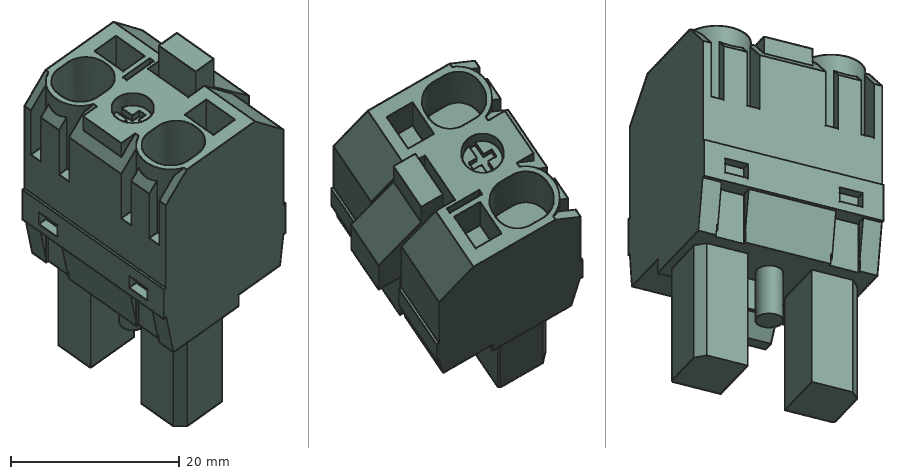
import cadquery as cq
import math


WIDTH = 23.75
BACK_Y = 13.5
FRONT_Y = -6.35
TOP_Z = 44.7
BOTTOM_Z = 15.55
BACK_BOTTOM_Z = 17.45
STEP_Y = 5.95
BACK_BEVEL = 4.8
FRONT_BEVEL = 3.55
BAND_TOP_Z = 27.3
BAND_BOTTOM_Z = 22.28
BAND_RISE = 0.35
TAPER_SETBACK = 0.1
FRONT_TAPER = 1.2
BACK_TAPER = 0.55

ENTRY_X = 7.6
ENTRY_Y = -0.75
ENTRY_WIDTH = 6.65
ENTRY_LENGTH = 7.6
ENTRY_DEPTH = 9.55
ENTRY_CORNER_RADIUS = 3.0
BOSS_RADIUS = 4.1
BOSS_Y = -1.25
RIB_WIDTH = 3.05
GROOVE_SPAN = 6.4
GROOVE_BOTTOM_Z = 33.72

POCKET_WIDTH = 4.8
POCKET_LENGTH = 3.63
POCKET_Y = 5.4
POCKET_DEPTH = 7.15
SLIT_X = -4.15
SLIT_Y = 5.1
SLIT_WIDTH = 0.65
SLIT_LENGTH = 4.55
SLIT_DEPTH = 2.4

TAB_WIDTH = 6.45
TAB_FRONT_Y = -5.15
TAB_BOTTOM_Z = 42.2
WINDOW_BOTTOM_Z = 23.45
WINDOW_HEIGHT = 1.95
WINDOW_DEPTH = 1.2
RELIEF_WIDTH = 3.63
RELIEF_BACK_Y = -4.67
RELIEF_UNDERCUT_Y = -5.15
RELIEF_UNDERCUT_WIDTH = 3.85

PRONG_INNER_X = 4.25
PRONG_OUTER_X = 10.85
PRONG_FRONT_Y = -2.85
PRONG_BACK_Y = 4.5
PRONG_FRONT_CHAMFER = 1.15
PRONG_BACK_CHAMFER = 0.25

TONGUE_WIDTH = 4.15
TONGUE_BACK_Y = 5.25
TONGUE_FRONT_Y = 2.15
TONGUE_BOTTOM_Z = 8.25
TONGUE_BEVEL_TOP_Z = 11.0
TONGUE_STEP_Z = 11.3
TONGUE_STEP = 0.15
TONGUE_BEVEL_ANGLE = 30

HEAD_DIAMETER = 4.75
HEAD_HOLE_DIAMETER = 5.05
HEAD_TOP_Z = 42.75
HEAD_HEIGHT = 2.85
SHANK_DIAMETER = 3.3
SHANK_END_Z = 8.9
DRIVE_SLOT_WIDTH = 0.9
CROSS_SLOT_WIDTH = 1.05
CROSS_SLOT_LENGTH = 3.25
DRIVE_DEPTH = 0.95

LEVER_WIDTH = 6.2
LEVER_SLOT_WIDTH = 6.75
LEVER_TOP_Z = 47.7
LEVER_BACK_Y = 16.5
GRIP_BACK_Y = 10.55
GRIP_FRONT_Y = 7.5
NOSE_TOP_Z = 37.25
NOSE_RISE = 5.72
NOSE_BOTTOM_Z = 29.8
LEVER_BOTTOM_Z = 18.2
HINGE_HEIGHT = 2.85

SIDES = (-1, 1)


def box(x_range, y_range, z_range):
    """Box between the given limits on each axis."""
    corners = list(zip(x_range, y_range, z_range))
    sizes = [high - low for low, high in (x_range, y_range, z_range)]
    return cq.Workplane("XY").box(*sizes, centered=False).translate(corners[0])


def centred(middle, size):
    """Limits of a length that is centred on the given place."""
    return (middle - size / 2, middle + size / 2)


def side_profile(points, width):
    """Prism along X, centred on X = 0, from an outline of (y, z) points."""
    return cq.Workplane("YZ").polyline(points).close().extrude(width / 2, both=True)


def wire_entry(side):
    """Round-cornered shaft that takes the wire."""
    return (
        box(
            centred(side * ENTRY_X, ENTRY_WIDTH),
            centred(ENTRY_Y, ENTRY_LENGTH),
            (TOP_Z - ENTRY_DEPTH, TOP_Z),
        )
        .edges("|Z")
        .fillet(ENTRY_CORNER_RADIUS)
    )


def entry_boss(side):
    """Round column that carries the front wall of a wire entry through the bevel."""
    return (
        cq.Workplane("XY", origin=(side * ENTRY_X, BOSS_Y, GROOVE_BOTTOM_Z))
        .circle(BOSS_RADIUS)
        .extrude(TOP_Z - GROOVE_BOTTOM_Z)
    )


def housing_shell():
    """Solid block with bevelled top, raised band and tapered foot."""
    front_foot_y = FRONT_Y + TAPER_SETBACK
    return side_profile(
        [
            (FRONT_Y + FRONT_BEVEL, TOP_Z),
            (BACK_Y - BACK_BEVEL, TOP_Z),
            (BACK_Y, TOP_Z - BACK_BEVEL),
            (BACK_Y, BAND_TOP_Z),
            (BACK_Y + BAND_RISE, BAND_TOP_Z),
            (BACK_Y + BAND_RISE, BAND_BOTTOM_Z),
            (BACK_Y, BAND_BOTTOM_Z),
            (BACK_Y - BACK_TAPER, BACK_BOTTOM_Z),
            (STEP_Y, BACK_BOTTOM_Z),
            (STEP_Y, BOTTOM_Z),
            (front_foot_y + FRONT_TAPER, BOTTOM_Z),
            (front_foot_y, BAND_BOTTOM_Z),
            (FRONT_Y - BAND_RISE, BAND_BOTTOM_Z),
            (FRONT_Y - BAND_RISE, BAND_TOP_Z),
            (FRONT_Y, BAND_TOP_Z),
            (FRONT_Y, TOP_Z - FRONT_BEVEL),
        ],
        WIDTH,
    )


def front_grooves(side):
    """Grooves on each side of a rib, cut back to the round boss of the wire entry."""
    y_range = (FRONT_Y, BOSS_Y)
    z_range = (GROOVE_BOTTOM_Z, TOP_Z)
    span = box(centred(side * ENTRY_X, GROOVE_SPAN), y_range, z_range)
    rib = box(centred(side * ENTRY_X, RIB_WIDTH), y_range, z_range)
    return span.cut(rib).cut(entry_boss(side))


def relief_slot(side):
    """Slot in the tapered foot, slightly undercut at its back."""
    middle = side * ENTRY_X
    z_range = (BOTTOM_Z, BAND_BOTTOM_Z)
    slot = box(centred(middle, RELIEF_WIDTH), (FRONT_Y, RELIEF_BACK_Y), z_range)
    undercut = box(
        centred(middle, RELIEF_UNDERCUT_WIDTH), (RELIEF_UNDERCUT_Y, RELIEF_BACK_Y), z_range
    )
    return slot.union(undercut)


def prong(side):
    """Prong with its outer vertical edges chamfered."""
    outline = [
        (PRONG_INNER_X, PRONG_FRONT_Y),
        (PRONG_OUTER_X - PRONG_FRONT_CHAMFER, PRONG_FRONT_Y),
        (PRONG_OUTER_X, PRONG_FRONT_Y + PRONG_FRONT_CHAMFER),
        (PRONG_OUTER_X, PRONG_BACK_Y - PRONG_BACK_CHAMFER),
        (PRONG_OUTER_X - PRONG_BACK_CHAMFER, PRONG_BACK_Y),
        (PRONG_INNER_X, PRONG_BACK_Y),
    ]
    points = [(side * x, y) for x, y in outline]
    return cq.Workplane("XY").polyline(points).close().extrude(BOTTOM_Z)


def tongue():
    """Tongue behind the screw shank, with a small step and a bevelled tip."""
    bevel_height = TONGUE_BEVEL_TOP_Z - TONGUE_BOTTOM_Z
    tip_y = TONGUE_FRONT_Y + bevel_height * math.tan(math.radians(TONGUE_BEVEL_ANGLE))
    step_y = TONGUE_FRONT_Y + TONGUE_STEP
    return side_profile(
        [
            (TONGUE_BACK_Y, BOTTOM_Z),
            (step_y, BOTTOM_Z),
            (step_y, TONGUE_STEP_Z),
            (TONGUE_FRONT_Y, TONGUE_STEP_Z),
            (TONGUE_FRONT_Y, TONGUE_BEVEL_TOP_Z),
            (tip_y, TONGUE_BOTTOM_Z),
            (TONGUE_BACK_Y, TONGUE_BOTTOM_Z),
        ],
        TONGUE_WIDTH,
    )


def screw_hole():
    """Clearance bore for the screw head above a close bore for its shank."""
    head_bottom_z = HEAD_TOP_Z - HEAD_HEIGHT
    head_hole = (
        cq.Workplane("XY", origin=(0, 0, head_bottom_z))
        .circle(HEAD_HOLE_DIAMETER / 2)
        .extrude(TOP_Z - head_bottom_z)
    )
    shank_hole = (
        cq.Workplane("XY", origin=(0, 0, BOTTOM_Z))
        .circle(SHANK_DIAMETER / 2)
        .extrude(head_bottom_z - BOTTOM_Z)
    )
    return head_hole.union(shank_hole)


def make_housing():
    """Housing with its two prongs, tongue and all openings."""
    tab = box(centred(0, TAB_WIDTH), (TAB_FRONT_Y, 0), (TAB_BOTTOM_Z, TOP_Z))
    housing = housing_shell().union(tab)

    band_front_y = FRONT_Y - BAND_RISE
    for side in SIDES:
        middle = side * ENTRY_X
        pocket = box(
            centred(middle, POCKET_WIDTH),
            centred(POCKET_Y, POCKET_LENGTH),
            (TOP_Z - POCKET_DEPTH, TOP_Z),
        )
        window = box(
            centred(middle, RIB_WIDTH),
            (band_front_y, band_front_y + WINDOW_DEPTH),
            (WINDOW_BOTTOM_Z, WINDOW_BOTTOM_Z + WINDOW_HEIGHT),
        )
        housing = housing.cut(front_grooves(side)).union(entry_boss(side)).cut(wire_entry(side))
        housing = housing.cut(pocket).cut(window).cut(relief_slot(side)).union(prong(side))

    slit = box(
        centred(SLIT_X, SLIT_WIDTH), centred(SLIT_Y, SLIT_LENGTH), (TOP_Z - SLIT_DEPTH, TOP_Z)
    )
    lever_slot = box(
        centred(0, LEVER_SLOT_WIDTH), (STEP_Y, BACK_Y + BAND_RISE), (BOTTOM_Z, TOP_Z)
    )
    return housing.cut(slit).cut(lever_slot).union(tongue()).cut(screw_hole())


def make_screw():
    """Screw with a straight slot crossed by a shorter one in its head."""
    screw = (
        cq.Workplane("XY", origin=(0, 0, SHANK_END_Z))
        .circle(SHANK_DIAMETER / 2)
        .extrude(HEAD_TOP_Z - SHANK_END_Z)
    )
    head = (
        cq.Workplane("XY", origin=(0, 0, HEAD_TOP_Z))
        .circle(HEAD_DIAMETER / 2)
        .extrude(-HEAD_HEIGHT)
    )
    drive_z = (HEAD_TOP_Z - DRIVE_DEPTH, HEAD_TOP_Z)
    straight_slot = box(centred(0, HEAD_DIAMETER), centred(0, DRIVE_SLOT_WIDTH), drive_z)
    cross_slot = box(centred(0, CROSS_SLOT_WIDTH), centred(0, CROSS_SLOT_LENGTH), drive_z)
    return screw.union(head).cut(straight_slot).cut(cross_slot)


def make_lever():
    """Upright lever with a thumb grip, a sloping nose and a hinge foot against the slot wall."""
    hinge_top_z = LEVER_BOTTOM_Z + HINGE_HEIGHT
    return side_profile(
        [
            (GRIP_FRONT_Y, LEVER_TOP_Z),
            (GRIP_BACK_Y, LEVER_TOP_Z),
            (GRIP_BACK_Y, NOSE_TOP_Z + NOSE_RISE),
            (LEVER_BACK_Y, NOSE_TOP_Z),
            (LEVER_BACK_Y, NOSE_BOTTOM_Z),
            (BACK_Y, NOSE_BOTTOM_Z),
            (BACK_Y, LEVER_BOTTOM_Z),
            (STEP_Y, LEVER_BOTTOM_Z),
            (STEP_Y, hinge_top_z),
            (GRIP_FRONT_Y, hinge_top_z),
        ],
        LEVER_WIDTH,
    )


housing = make_housing()
screw = make_screw()
lever = make_lever()

result = cq.Compound.makeCompound([housing.val(), screw.val(), lever.val()])